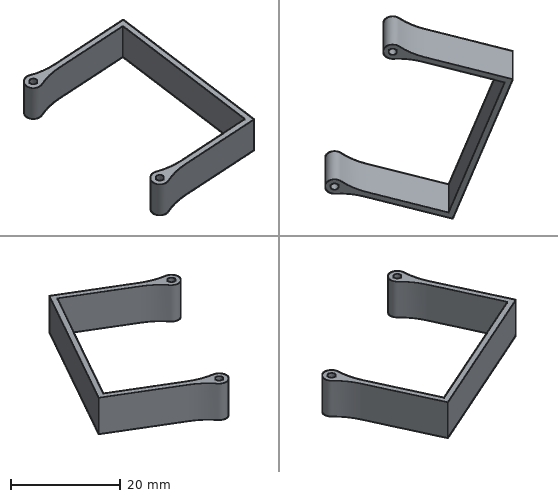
import cadquery as cq
import math

overall_width = 37.5
overall_depth = 24.68
height = 8.0
wall = 1.2
eye_diameter = 3.5
pin_diameter = 1.5
flare_length = 5.9

eye_radius = eye_diameter / 2
half_wall = wall / 2
arm_x = overall_width / 2 - eye_radius
back_y = overall_depth - eye_radius
outer_width = 2 * arm_x + wall

flare_radius = (flare_length**2 + half_wall**2 - eye_radius**2) / (2 * (eye_radius - half_wall))
flare_center_x = half_wall + flare_radius
flare_angle = math.asin(flare_length / (flare_radius + eye_radius))


def flare_point(angle):
    """Point on the right-hand flare, at an angle from the start of the arc."""
    x = flare_center_x - flare_radius * math.cos(angle)
    y = flare_length - flare_radius * math.sin(angle)
    return x, y


def mirrored(point):
    return -point[0], point[1]


def make_arm(x):
    """Straight arm that flares into a round eye with a pin hole."""
    middle = flare_point(flare_angle / 2)
    end = flare_point(flare_angle)
    arm = (
        cq.Workplane("XY")
        .moveTo(-half_wall, back_y)
        .lineTo(half_wall, back_y)
        .lineTo(half_wall, flare_length)
        .threePointArc(middle, end)
        .threePointArc((0, -eye_radius), mirrored(end))
        .threePointArc(mirrored(middle), (-half_wall, flare_length))
        .close()
        .extrude(height)
    )
    pin_hole = cq.Workplane("XY").circle(pin_diameter / 2).extrude(height)
    return arm.cut(pin_hole).translate((x, 0, 0))


result = (
    cq.Workplane("XY")
    .box(outer_width, wall, height, centered=(True, False, False))
    .translate((0, back_y - wall, 0))
)
for side in (-1, 1):
    result = result.union(make_arm(side * arm_x))